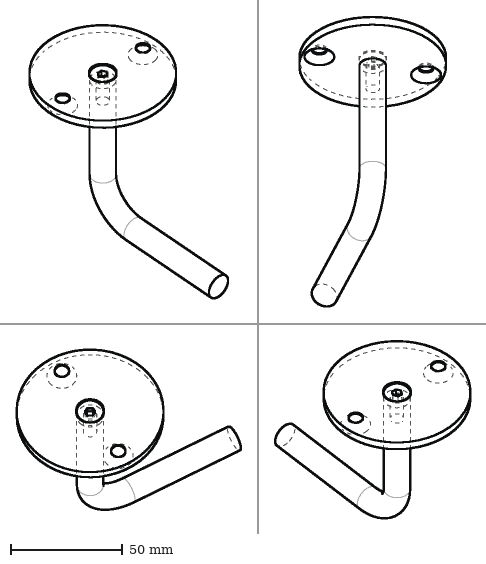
import cadquery as cq
import math


plate_diameter = 66.0
plate_thickness = 4.2
fixing_hole_diameter = 6.5
fixing_hole_spacing = 50.0
fixing_hole_land = 0.8

rod_diameter = 12.0
bend_radius = 20.0
overall_length = 108.0
overall_height = 86.0
rod_end_x = overall_length - plate_diameter / 2
arm_z = rod_diameter / 2 - overall_height

head_diameter = rod_diameter
head_recess = 0.6
shank_diameter = 6.0
screw_length = 16.0
hex_across_flats = 4.0
hex_depth = 3.0
screw_end_z = -head_recess - screw_length
counterbore_diameter = 12.5


def countersunk_shape(top_z, top_diameter, bottom_z):
    """A 45 degree cone narrowing to the shank, which runs down to bottom_z."""
    top_radius = top_diameter / 2
    shank_radius = shank_diameter / 2
    cone_end_z = top_z - (top_radius - shank_radius)
    return (
        cq.Workplane("XZ")
        .moveTo(0, top_z)
        .lineTo(top_radius, top_z)
        .lineTo(shank_radius, cone_end_z)
        .lineTo(shank_radius, bottom_z)
        .lineTo(0, bottom_z)
        .close()
        .revolve(360, (0, 0, 0), (0, 1, 0))
    )


def make_fixing_hole(center_y):
    """Cutter for a fixing hole with a 90 degree countersink from the plate underside."""
    hole_radius = fixing_hole_diameter / 2
    mouth_radius = hole_radius + plate_thickness - fixing_hole_land
    return (
        cq.Workplane("XZ", origin=(0, center_y, 0))
        .lineTo(hole_radius, 0)
        .lineTo(hole_radius, -fixing_hole_land)
        .lineTo(mouth_radius, -plate_thickness)
        .lineTo(0, -plate_thickness)
        .close()
        .revolve(360, (0, 0, 0), (0, 1, 0))
    )


def make_plate():
    """Round plate with two fixing holes and a central seat that sinks the screw head."""
    disc = cq.Workplane("XY").circle(plate_diameter / 2).extrude(-plate_thickness)
    counterbore = cq.Workplane("XY").circle(counterbore_diameter / 2).extrude(-head_recess)
    screw_seat = countersunk_shape(-head_recess, head_diameter, -plate_thickness)
    plate = disc.cut(counterbore).cut(screw_seat)
    for side in (-1, 1):
        plate = plate.cut(make_fixing_hole(side * fixing_hole_spacing / 2))
    return plate


def make_rod():
    """Rod that drops from the plate and bends to run along +X, with a hole for the screw."""
    bend_middle_x = bend_radius * (1 - math.cos(math.pi / 4))
    path = (
        cq.Workplane("XZ")
        .moveTo(0, -plate_thickness)
        .lineTo(0, arm_z + bend_radius)
        .threePointArc((bend_middle_x, arm_z + bend_middle_x), (bend_radius, arm_z))
        .lineTo(rod_end_x, arm_z)
    )
    rod = (
        cq.Workplane("XY", origin=(0, 0, -plate_thickness))
        .circle(rod_diameter / 2)
        .sweep(path)
    )
    screw_hole = (
        cq.Workplane("XY", origin=(0, 0, -plate_thickness))
        .circle(shank_diameter / 2)
        .extrude(screw_end_z + plate_thickness)
    )
    return rod.cut(screw_hole)


def make_screw():
    """Countersunk screw with a hexagon socket that has corners on the Y axis."""
    body = countersunk_shape(-head_recess, head_diameter, screw_end_z)
    hex_across_corners = hex_across_flats / math.cos(math.pi / 6)
    socket = (
        cq.Workplane("XY", origin=(0, 0, -head_recess))
        .transformed(rotate=(0, 0, 90))
        .polygon(6, hex_across_corners)
        .extrude(-hex_depth)
    )
    return body.cut(socket)


plate = make_plate()
rod = make_rod()
screw = make_screw()

result = cq.Compound.makeCompound([plate.val(), rod.val(), screw.val()])